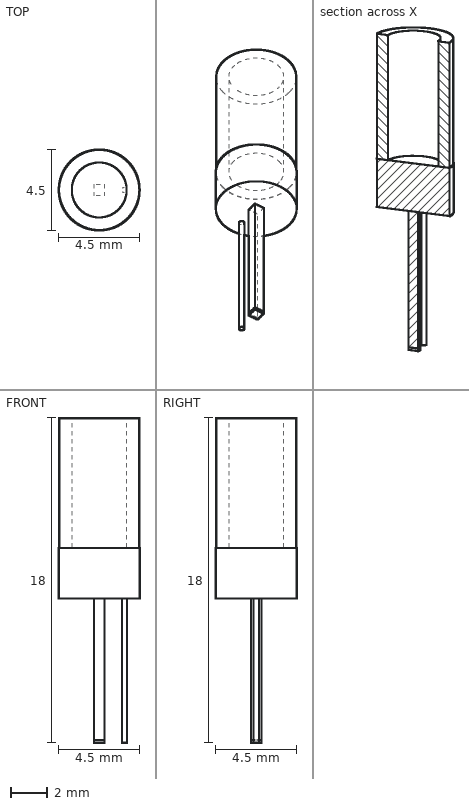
import cadquery as cq


base_diameter = 4.5
base_height = 2.8

body_height = 10.0
sleeve_diameter = 4.45
bore_diameter = 3.05
sleeve_height = body_height - base_height

pin_length = 8.0
square_pin_width = 0.6
tip_thickness = 0.15
round_pin_diameter = 0.3
round_pin_offset = 1.4


def make_base():
    """Solid disc whose top face closes the sleeve's bore."""
    return cq.Workplane("XY").circle(base_diameter / 2).extrude(base_height)


def make_sleeve():
    """Tube standing on the base, open at the top."""
    return (
        cq.Workplane("XY", origin=(0, 0, base_height))
        .circle(sleeve_diameter / 2)
        .circle(bore_diameter / 2)
        .extrude(sleeve_height)
    )


def make_square_pin():
    """Square pin on the axis, ending where its tip begins."""
    return cq.Workplane("XY").rect(square_pin_width, square_pin_width).extrude(tip_thickness - pin_length)


def make_square_pin_tip():
    """Thin plate that covers the lower end of the square pin."""
    return (
        cq.Workplane("XY", origin=(0, 0, -pin_length))
        .rect(square_pin_width, square_pin_width)
        .extrude(tip_thickness)
    )


def make_round_pin():
    """Thin round pin beside the square pin."""
    return (
        cq.Workplane("XY", origin=(round_pin_offset, 0, 0))
        .circle(round_pin_diameter / 2)
        .extrude(-pin_length)
    )


base = make_base()
sleeve = make_sleeve()
square_pin = make_square_pin()
square_pin_tip = make_square_pin_tip()
round_pin = make_round_pin()

result = cq.Compound.makeCompound(
    [base.val(), sleeve.val(), square_pin.val(), square_pin_tip.val(), round_pin.val()]
)